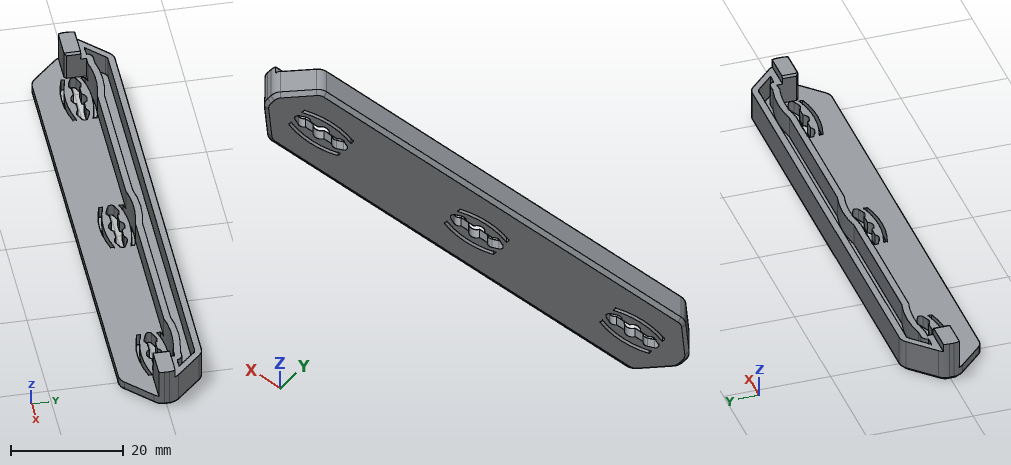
import cadquery as cq
import math

length = 96
width = 15.0
half_length = length / 2
half_width = width / 2
end_width = 3.0
corner_cut = (width - end_width) / 2
corner_fillet = 2.5
bottom_chamfer = 0.8

plate_height = 2.3
wall_height = 6.3
block_height = 7.9

wall = 1.2
rim_front = 2.5
pocket_corner = half_length - corner_cut

block_half_width = end_width / 2
block_chamfer = 0.4

opening_pitch = 36.0
opening_places = (-opening_pitch, 0, opening_pitch)
bow_peak = 3.1
bow_radius = 18.2
crescent_half_length = 5.7
crescent_inner_peak = 2.4
crescent_inner_radius = 18.2
slot_half_width = 0.72
center_lobe_radius = 1.4
side_lobe_radius = 1.2
side_lobe_offset = 3.9
tip_radius = 0.6
tip_offset = 5.4


def box(x_min, x_max, y_min, y_max, z_min, z_max):
    """Axis-aligned box between the given limits."""
    size = (x_max - x_min, y_max - y_min, z_max - z_min)
    return cq.Workplane().box(*size, centered=False).translate((x_min, y_min, z_min))


def body_blank(inset, z_min, z_max):
    """Octagonal prism with rounded corners, its sides moved in by the inset."""
    cut = corner_cut - inset * (2 - math.sqrt(2))
    prism = (
        cq.Workplane().workplane(offset=z_min)
        .rect(length - 2 * inset, width - 2 * inset)
        .extrude(z_max - z_min)
        .edges("|Z").chamfer(cut)
    )
    return prism.edges("|Z").fillet(corner_fillet - inset)


def bow_cylinder(peak, radius, x, z_min, z_max):
    """Upright cylinder centred on X = x, with its +Y crest at Y = peak."""
    return (
        cq.Workplane().workplane(offset=z_min)
        .center(x, peak - radius).circle(radius).extrude(z_max - z_min)
    )


def rim_region(offset, z_min, z_max):
    """Space behind the rim's front face, with that face moved toward +Y by the offset."""
    corner = pocket_corner + offset
    front = rim_front + offset
    region = box(-half_length, half_length, block_half_width + offset, half_width, z_min, z_max)
    front_space = box(-corner, corner, 0, front, z_min, z_max)
    if offset > 0:
        front_space = front_space.edges("|Z").fillet(offset)
    behind_front = box(-half_length, half_length, front, half_width, z_min, z_max)
    for x in opening_places:
        bow = bow_cylinder(bow_peak + offset, bow_radius + offset, x, z_min, z_max)
        region = region.cut(bow.intersect(behind_front))
    return region.cut(front_space)


def rim():
    """Thin wall that encloses a trough along the +Y side."""
    solid = body_blank(0, 0, wall_height).intersect(rim_region(0, 0, wall_height))
    trough = body_blank(wall, plate_height, wall_height)
    return solid.cut(trough.intersect(rim_region(wall, plate_height, wall_height)))


def end_block(side):
    """Raised block on one pointed end, chamfered on the edges of its inner face."""
    blank = box(pocket_corner, half_length, -block_half_width, block_half_width, 0, block_height)
    blank = blank.faces("<X").edges(">Z or <Y").chamfer(block_chamfer)
    if side < 0:
        blank = blank.mirror("YZ")
    return blank.intersect(body_blank(0, 0, block_height))


def crescent():
    """Bowed slot that frees the +Y side of a spring opening."""
    blank = box(-crescent_half_length, crescent_half_length, 0, bow_peak, 0, plate_height)
    outer = bow_cylinder(bow_peak, bow_radius, 0, 0, plate_height)
    inner = bow_cylinder(crescent_inner_peak, crescent_inner_radius, 0, 0, plate_height)
    return blank.intersect(outer).cut(inner)


def slot_end():
    """Round side lobe that tapers to a smaller round tip, along +X."""
    span = tip_offset - side_lobe_offset
    normal_x = (side_lobe_radius - tip_radius) / span
    normal_y = math.sqrt(1 - normal_x ** 2)
    lobe_x = side_lobe_offset + side_lobe_radius * normal_x
    lobe_y = side_lobe_radius * normal_y
    tip_x = tip_offset + tip_radius * normal_x
    tip_y = tip_radius * normal_y
    return (
        cq.Workplane()
        .moveTo(lobe_x, -lobe_y)
        .lineTo(tip_x, -tip_y)
        .threePointArc((tip_offset + tip_radius, 0), (tip_x, tip_y))
        .lineTo(lobe_x, lobe_y)
        .threePointArc((side_lobe_offset - side_lobe_radius, 0), (lobe_x, -lobe_y))
        .close().extrude(plate_height)
    )


def lobed_slot():
    """Central slot with a round middle lobe and a tapered lobe at each end."""
    slot = box(
        -side_lobe_offset, side_lobe_offset, -slot_half_width, slot_half_width, 0, plate_height
    )
    slot = slot.union(cq.Workplane().circle(center_lobe_radius).extrude(plate_height))
    end_lobe = slot_end()
    return slot.union(end_lobe).union(end_lobe.mirror("YZ"))


body = body_blank(0, 0, plate_height).union(rim())
for end in (-1, 1):
    body = body.union(end_block(end))
body = body.faces("<Z").chamfer(bottom_chamfer)

upper_crescent = crescent()
lower_crescent = upper_crescent.mirror("XZ")
for place in opening_places:
    for cutter in (upper_crescent, lower_crescent, lobed_slot()):
        body = body.cut(cutter.translate((place, 0, 0)))

result = body